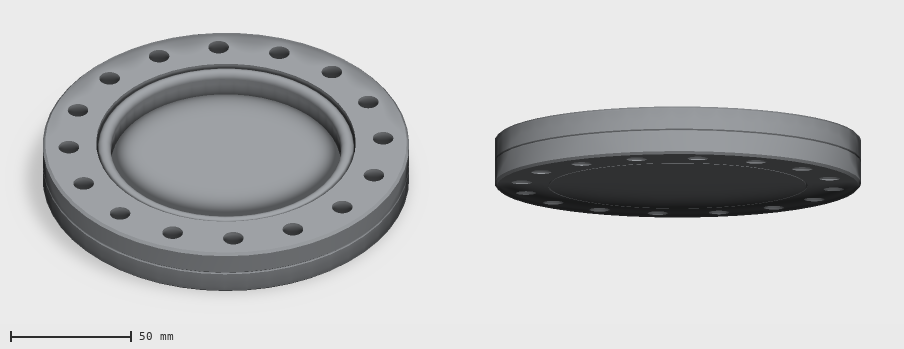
import cadquery as cq

OUTER_RADIUS = 76.0
TOTAL_HEIGHT = 20.0
FLANGE_HEIGHT = TOTAL_HEIGHT / 2
FACE_CHAMFER = 1.0
JOINT_CHAMFER = 0.5

BOLT_COUNT = 16
BOLT_CIRCLE_RADIUS = 65.2
BOLT_HOLE_DIAMETER = 8.5

BORE_RADIUS = 53.8
CUP_CLEARANCE = 0.6
CUP_RADIUS = BORE_RADIUS - CUP_CLEARANCE
CUP_INNER_RADIUS = 47.7
CUP_HEIGHT = 19.5
CUP_FLOOR_HEIGHT = 8.8
RIM_RADIUS = (CUP_RADIUS - CUP_INNER_RADIUS) / 2


def make_flange(base_height, bottom_chamfer, top_chamfer):
    """Bolted ring with chamfered outer edges, its underside at base_height."""
    disc = cq.Workplane("XY").circle(OUTER_RADIUS).extrude(FLANGE_HEIGHT)
    disc = disc.faces("<Z").chamfer(bottom_chamfer)
    disc = disc.faces(">Z").chamfer(top_chamfer)
    bore = cq.Workplane("XY").circle(BORE_RADIUS).extrude(FLANGE_HEIGHT)
    bolt_holes = (
        cq.Workplane("XY")
        .polarArray(BOLT_CIRCLE_RADIUS, 0, 360, BOLT_COUNT)
        .circle(BOLT_HOLE_DIAMETER / 2)
        .extrude(FLANGE_HEIGHT)
    )
    return disc.cut(bore).cut(bolt_holes).translate((0, 0, base_height))


def make_cup():
    """Round cup with a flat floor and a half-round rim just below the top of the flange."""
    rim_start = CUP_HEIGHT - RIM_RADIUS
    rim_middle = (CUP_RADIUS + CUP_INNER_RADIUS) / 2
    profile = (
        cq.Workplane("XZ")
        .lineTo(CUP_RADIUS, 0)
        .lineTo(CUP_RADIUS, rim_start)
        .threePointArc((rim_middle, CUP_HEIGHT), (CUP_INNER_RADIUS, rim_start))
        .lineTo(CUP_INNER_RADIUS, CUP_FLOOR_HEIGHT)
        .lineTo(0, CUP_FLOOR_HEIGHT)
        .close()
    )
    return profile.revolve(360, (0, 0), (0, 1))


lower_flange = make_flange(0, FACE_CHAMFER, JOINT_CHAMFER)
upper_flange = make_flange(FLANGE_HEIGHT, JOINT_CHAMFER, FACE_CHAMFER)
cup = make_cup()

result = cq.Compound.makeCompound([lower_flange.val(), upper_flange.val(), cup.val()])